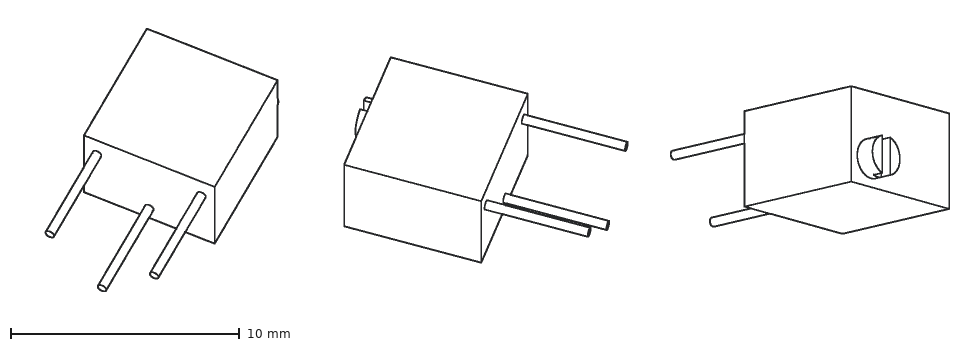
import cadquery as cq

body_width = 6.35
body_depth = 6.34
body_height = 4.32
front_y = -body_depth / 2
back_y = body_depth / 2

pin_diameter = 0.42
pin_length = 4.77
pin_pitch = 2.53
upper_pin_z = 1.14
lower_pin_z = upper_pin_z - pin_pitch
pin_positions = [(-pin_pitch, upper_pin_z), (0, lower_pin_z), (pin_pitch, upper_pin_z)]

total_length = 12.01
screw_diameter = 1.78
screw_length = total_length - body_depth - pin_length
screw_x = 1.9
screw_z = -0.88
slot_width = 0.5
slot_depth = 0.52


def cylinder_along_y(x, z, start_y, diameter, length):
    """Cylinder running from start_y towards +Y."""
    return cq.Workplane(cq.Solid.makeCylinder(
        diameter / 2, length, cq.Vector(x, start_y, z), cq.Vector(0, 1, 0)
    ))


def adjusting_screw():
    """Screw head with a slot running across it along Z."""
    head = cylinder_along_y(screw_x, screw_z, back_y, screw_diameter, screw_length)
    slot_centre_y = back_y + screw_length - slot_depth / 2
    slot = cq.Workplane().box(slot_width, slot_depth, screw_diameter)
    return head.cut(slot.translate((screw_x, slot_centre_y, screw_z)))


result = cq.Workplane().box(body_width, body_depth, body_height)
for pin_x, pin_z in pin_positions:
    pin = cylinder_along_y(pin_x, pin_z, front_y - pin_length, pin_diameter, pin_length)
    result = result.union(pin)
result = result.union(adjusting_screw())